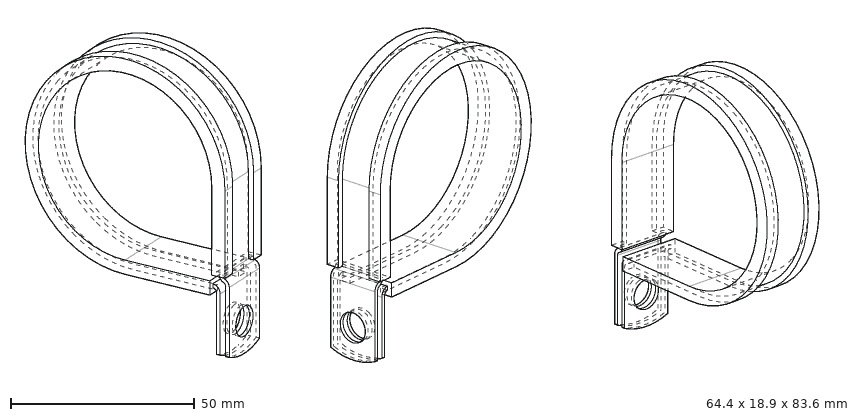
import cadquery as cq
import math

outer_radius = 32.0
cushion_thickness = 4.3
cushion_width = 18.9
groove_width = 10.9
groove_depth = 1.7
side_leg_end_z = -25.9
bottom_leg_end_x = 27.15

strap_width = 15.8
strap_thickness = 1.2
strap_radius = outer_radius - groove_depth - strap_thickness / 2
overall_height = 83.6
tab_bottom_z = outer_radius - overall_height
outer_tab_x = 31.8
inner_tab_x = 28.9
bend_radius = 1.9
jog_height = 3.2

tab_crown = 1.7
hole_diameter = 8.85
hole_to_tip = 9.6


def teardrop(radius, width):
    """Solid three-quarter disc whose straight tangent sides meet at a corner, centred on Y."""
    return (
        cq.Workplane("XZ")
        .moveTo(radius, 0)
        .threePointArc((-radius * math.sqrt(0.5), radius * math.sqrt(0.5)), (0, -radius))
        .lineTo(radius, -radius)
        .close()
        .extrude(width / 2, both=True)
    )


def make_cushion():
    groove_floor = outer_radius - groove_depth
    ring = teardrop(outer_radius, cushion_width)
    groove = teardrop(outer_radius, groove_width).cut(teardrop(groove_floor, groove_width))
    ring = ring.cut(groove).cut(teardrop(outer_radius - cushion_thickness, cushion_width))
    corner_gap = cq.Workplane("XY").box(
        outer_radius, cushion_width, outer_radius, centered=(False, True, False)
    )
    side_gap = corner_gap.translate((bottom_leg_end_x, 0, side_leg_end_z - outer_radius))
    return ring.cut(side_gap)


def make_strap():
    jog_top = side_leg_end_z
    jog_bottom = jog_top - jog_height
    jog_middle = ((outer_tab_x + strap_radius) / 2, (jog_top + jog_bottom) / 2)
    bend_start_x = inner_tab_x - bend_radius
    path = (
        cq.Workplane("XZ")
        .moveTo(outer_tab_x, tab_bottom_z)
        .lineTo(outer_tab_x, jog_bottom)
        .tangentArcPoint(jog_middle, relative=False)
        .tangentArcPoint((strap_radius, jog_top), relative=False)
        .lineTo(strap_radius, 0)
        .threePointArc(
            (-strap_radius * math.sqrt(0.5), strap_radius * math.sqrt(0.5)),
            (0, -strap_radius),
        )
        .lineTo(bend_start_x, -strap_radius)
        .tangentArcPoint((inner_tab_x, -strap_radius - bend_radius), relative=False)
        .lineTo(inner_tab_x, tab_bottom_z)
    )
    return (
        cq.Workplane("XY", origin=(outer_tab_x, 0, tab_bottom_z))
        .rect(strap_thickness, strap_width)
        .sweep(path)
    )


def make_tab_trim():
    """Waste outside the crowned tab ends, plus the bolt hole, spanning both tabs."""
    half_width = strap_width / 2
    corner_z = tab_bottom_z + tab_crown
    tabs = cq.Workplane("YZ", origin=(inner_tab_x - strap_thickness, 0, 0))
    trim_length = outer_tab_x - inner_tab_x + 2 * strap_thickness
    waste = (
        tabs.moveTo(-half_width, corner_z)
        .threePointArc((0, tab_bottom_z), (half_width, corner_z))
        .lineTo(half_width, tab_bottom_z - tab_crown)
        .lineTo(-half_width, tab_bottom_z - tab_crown)
        .close()
        .extrude(trim_length)
    )
    hole = tabs.center(0, tab_bottom_z + hole_to_tip).circle(hole_diameter / 2).extrude(trim_length)
    return waste.union(hole)


strap = make_strap().cut(make_tab_trim())
result = make_cushion().union(strap)